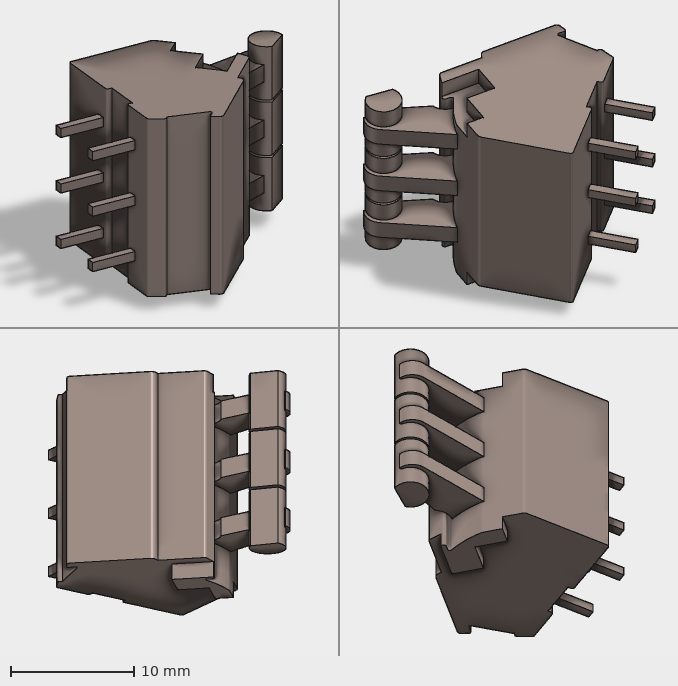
import cadquery as cq
import math

HOUSING_HEIGHT = 16.0
SIDE_WALL_TOP = 7.9
EDGE_ROUND = 0.22
FOOT_GAP_LEFT = 5.92
FOOT_GAP_RIGHT = 9.15
FOOT_GAP_DEPTH = 0.5
SLOPE_END = 2.58

TONGUE_HEIGHT = 1.31
RECESS_DEPTH = 1.47
ZIGZAG_START = 1.34
ZIGZAG_LEGS = [(1.07, -1.07), (1.92, 1.92), (1.83, -1.83), (1.87, 1.87), (-2.45, 2.45)]
ZIGZAG_MARGIN = 1.78

POLE_COUNT = 3
POLE_PITCH = 4.99
TOP_POLE_Z = HOUSING_HEIGHT - 3.16
POLE_LEVELS = [TOP_POLE_Z - i * POLE_PITCH for i in range(POLE_COUNT)]

PIN_CENTERS = [5.03, 10.05]
PIN_WIDTH = 0.73
PIN_THICKNESS = 0.82
PIN_LENGTH = 4.0
PIN_EMBED = 1.11

ARM_THICKNESS = 1.55
KNOB_RADIUS = 1.5
KNOB_LENGTH = 4.79
KNOB_X = 3.16
KNOB_Y = 22.27 - PIN_LENGTH - KNOB_RADIUS
KNOB_FLAT_ANGLE = 38.5
KNOB_FLAT_DISTANCE = KNOB_RADIUS * math.sin(math.radians(KNOB_FLAT_ANGLE))


def rounded_outline(corners):
    """Closed XY outline from (x, y, radius) corners; radius 0 keeps a corner sharp."""
    outline = None
    for i, (x, y, radius) in enumerate(corners):
        corner = cq.Vector(x, y)
        before = (cq.Vector(*corners[i - 1][:2]) - corner).normalized()
        after = (cq.Vector(*corners[(i + 1) % len(corners)][:2]) - corner).normalized()
        half_angle = before.getAngle(after) / 2
        setback = radius / math.tan(half_angle)
        arc_start = corner + before * setback
        outline = outline.lineTo(arc_start.x, arc_start.y) if outline else (
            cq.Workplane("XY").moveTo(arc_start.x, arc_start.y))
        if radius:
            bisector = (before + after).normalized()
            arc_middle = corner + bisector * (radius / math.sin(half_angle) - radius)
            arc_end = corner + after * setback
            outline = outline.threePointArc((arc_middle.x, arc_middle.y), (arc_end.x, arc_end.y))
    return outline.close()


def housing_prism(bottom, top):
    """The housing outline extruded between two Z levels."""
    outline = rounded_outline([
        (0, 0, EDGE_ROUND),
        (0, SIDE_WALL_TOP, 0.55),
        (SLOPE_END, SIDE_WALL_TOP + SLOPE_END, 0.67),
        (4.0, 11.2, 7.8),
        (5.9, 11.65, 0.18),
        (5.2, 12.35, 0.22),
        (6.68, 13.07, 0.3),
        (9.49, 10.27, 0),
        (10.07, 10.53, 0.45),
        (15.12, 5.48, 0.38),
        (14.52, 4.55, 0.18),
        (13.87, 5.35, 0.2),
        (12.85, 1.54, 0),
        (13.12, 1.31, 0.22),
        (12.35, 0, EDGE_ROUND),
        (FOOT_GAP_RIGHT, 0, EDGE_ROUND),
        (FOOT_GAP_RIGHT, FOOT_GAP_DEPTH, 0),
        (FOOT_GAP_LEFT, FOOT_GAP_DEPTH, 0),
        (FOOT_GAP_LEFT, 0, EDGE_ROUND),
    ])
    return outline.extrude(top - bottom).translate((0, 0, bottom))


def zigzag_block(bottom, top):
    """The part of the housing prism behind the zigzag line, between two Z levels."""
    x, y = ZIGZAG_START, SIDE_WALL_TOP + ZIGZAG_START
    corners = [(x - ZIGZAG_MARGIN, y + ZIGZAG_MARGIN), (x, y)]
    for step_x, step_y in ZIGZAG_LEGS:
        x, y = x + step_x, y + step_y
        corners.append((x, y))
    corners.append((x - ZIGZAG_MARGIN, y + ZIGZAG_MARGIN))
    region = cq.Workplane("XY").polyline(corners).close().extrude(top - bottom)
    return housing_prism(bottom, top).intersect(region.translate((0, 0, bottom)))


def pin(x, z):
    """Rectangular solder pin pointing toward -Y."""
    length = PIN_LENGTH + PIN_EMBED
    return cq.Workplane("XY").box(PIN_WIDTH, length, PIN_THICKNESS).translate(
        (x, PIN_EMBED - length / 2, z))


def lever(z):
    """Arm and knob of one lever, centred on level z."""
    arm = (
        cq.Workplane("XY")
        .moveTo(2.5, 9.95)
        .lineTo(1.34, 16.55)
        .threePointArc((1.65, 17.77), (2.4, 18.25))
        .lineTo(2.4, KNOB_Y)
        .lineTo(KNOB_X, KNOB_Y)
        .lineTo(4.32, 15.81)
        .lineTo(5.3, 13.23)
        .threePointArc((5.12, 12.43), (5.48, 11.58))
        .lineTo(5.48, 9.95)
        .close()
        .extrude(ARM_THICKNESS / 2, both=True)
    )
    flat_cutter = (
        cq.Workplane("XY")
        .box(KNOB_RADIUS, 2 * KNOB_RADIUS, KNOB_LENGTH)
        .translate((KNOB_FLAT_DISTANCE + KNOB_RADIUS / 2, 0, 0))
        .rotate((0, 0, 0), (0, 0, 1), KNOB_FLAT_ANGLE)
    )
    knob = cq.Workplane("XY").circle(KNOB_RADIUS).extrude(KNOB_LENGTH / 2, both=True).cut(flat_cutter)
    return arm.union(knob.translate((KNOB_X, KNOB_Y, 0))).translate((0, 0, z))


result = housing_prism(0, HOUSING_HEIGHT)
result = result.cut(zigzag_block(HOUSING_HEIGHT - RECESS_DEPTH, HOUSING_HEIGHT))
result = result.union(zigzag_block(-TONGUE_HEIGHT, 0))

for level in POLE_LEVELS:
    result = result.union(lever(level))
    for pin_x in PIN_CENTERS:
        result = result.union(pin(pin_x, level))